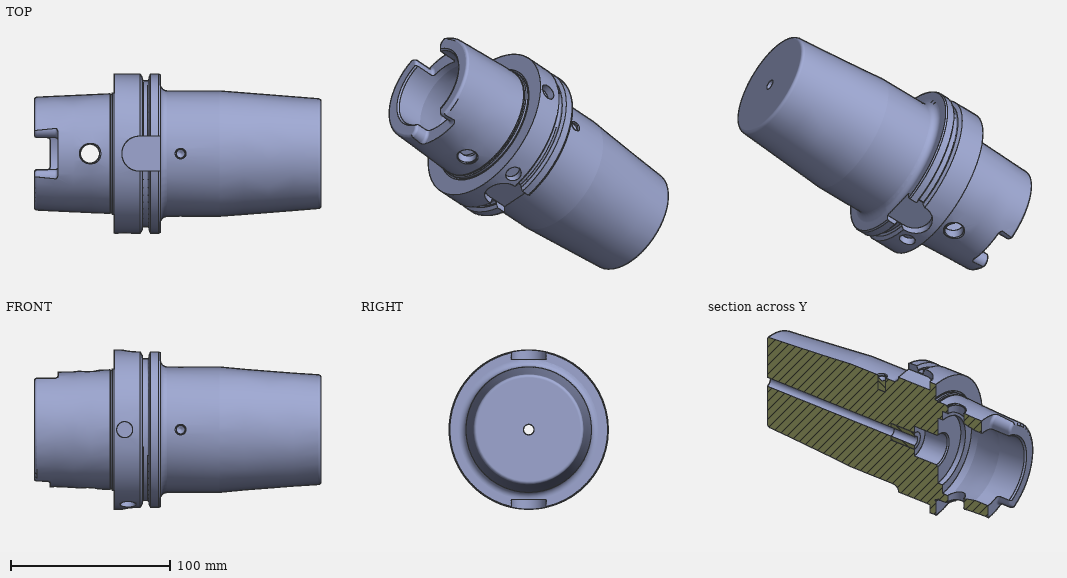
import cadquery as cq
import math

LENGTH = 180.0

SHANK_END_RADIUS = 35.5
SHANK_ROOT_RADIUS = 37.6
SHANK_EDGE_FILLET = 1.8
RELIEF_START = 47.3
RELIEF_WIDTH = 1.3
RELIEF_DEPTH = 0.4
ROOT_COLLAR_RADIUS = 38.2
FACE_RECESS_RADIUS = 39.2
FACE_RECESS_DEPTH = 0.5

FLANGE_START = 50.0
FLANGE_END = 79.0
FLANGE_RADIUS = 50.0
FLANGE_CHAMFER_LENGTH = 1.0
FLANGE_CHAMFER_DROP = 0.5
GROOVE_RADIUS = 45.9
GROOVE_START = 66.5
GROOVE_WALL = 67.9
GROOVE_CORNER_FILLET = 0.7
GROOVE_FLOOR_END = 71.8
GROOVE_FLARE_RADIUS = 47.5
GROOVE_END = 72.9

NECK_RADIUS = 39.5
NECK_FILLET = 4.5
NOSE_START = 116.3
NOSE_ANGLE = 4.5
NOSE_FILLET = 2.0

CAVITY_RADIUS = 26.5
CAVITY_CHAMFER = 1.0
CAVITY_STRAIGHT_END = 19.8
UNDERCUT_RADIUS = 31.1
UNDERCUT_START = 39.6
UNDERCUT_END = 45.0
CAVITY_FLOOR = 48.6
CAVITY_FLOOR_RADIUS = 24.7

COOLANT_BORE_RADIUS = 11.2
COOLANT_BORE_CHAMFER = 0.9
COOLANT_BORE_DEPTH = 18.0
THROUGH_BORE_RADIUS = 3.2
STOP_SCREW_RADIUS = 6.1
STOP_SCREW_LENGTH = 18.0
STOP_SCREW_START = CAVITY_FLOOR + COOLANT_BORE_DEPTH

DRIVE_SLOT_WIDTH = 20.0
DRIVE_SLOT_SHOULDER = 32.4
DRIVE_SLOT_ROUND = 5.2
UPPER_DRIVE_SLOT_DEPTH = 15.0
LOWER_DRIVE_SLOT_DEPTH = 9.9
DRIVE_SLOT_FILLET = 1.8

ACCESS_HOLE_X = 35.0
ACCESS_HOLE_RADIUS = 6.0
ACCESS_HOLE_CHAMFER = 0.9
ACCESS_HOLE_RIM = SHANK_ROOT_RADIUS - 0.7

KEYWAY_START = 54.9
KEYWAY_HALF_WIDTH = 11.0
KEYWAY_FLOOR = NECK_RADIUS + NECK_FILLET

RIM_HOLE_RADIUS = 5.0
RIM_HOLE_DEPTH = 5.0
FRONT_RIM_HOLE_X = 56.7
LOWER_RIM_HOLE_X = 58.9
LOWER_RIM_HOLE_ANGLE = -70.0

SCREW_X = 91.8
SCREW_RADIUS = 2.7
SCREW_CHAMFER = 0.7
SCREW_HOLE_DEPTH = 10.8
SCREW_SINK = 1.8
SCREW_DIMPLE_DEPTH = 1.6
SCREW_ANGLES = (0.0, 90.0)

CLEARANCE = 1.8


def radial_direction(angle):
    """Unit vector away from the axis; angle 0 points to -Y and 90 to +Z."""
    turn = math.radians(angle)
    return cq.Vector(0, -math.cos(turn), math.sin(turn))


def radial_rod(x, radius, inner, outer, angle):
    """Cylinder pointing away from the axis."""
    direction = radial_direction(angle)
    start = cq.Vector(x, 0, 0) + direction * inner
    return cq.Workplane(cq.Solid.makeCylinder(radius, outer - inner, start, direction))


def radial_cone(x, inner_radius, outer_radius, inner, outer, angle):
    """Cone pointing away from the axis, with its own radius at each end."""
    direction = radial_direction(angle)
    start = cq.Vector(x, 0, 0) + direction * inner
    return cq.Workplane(cq.Solid.makeCone(inner_radius, outer_radius, outer - inner, start, direction))


def axial_rod(start, end, radius):
    """Cylinder along the axis."""
    return cq.Workplane("YZ", origin=(start, 0, 0)).circle(radius).extrude(end - start)


def turned_blank():
    """Solid of revolution with the shank, flange, neck and nose."""
    nose_end_radius = NECK_RADIUS - (LENGTH - NOSE_START) * math.tan(math.radians(NOSE_ANGLE))
    relief_end = RELIEF_START + RELIEF_WIDTH
    profile = (
        cq.Workplane("XY")
        .moveTo(0, 0)
        .lineTo(0, SHANK_END_RADIUS)
        .lineTo(RELIEF_START, SHANK_ROOT_RADIUS)
        .lineTo(RELIEF_START + RELIEF_DEPTH, SHANK_ROOT_RADIUS - RELIEF_DEPTH)
        .lineTo(relief_end, SHANK_ROOT_RADIUS - RELIEF_DEPTH)
        .lineTo(relief_end + RELIEF_DEPTH, ROOT_COLLAR_RADIUS)
        .lineTo(FLANGE_START + FACE_RECESS_DEPTH, ROOT_COLLAR_RADIUS)
        .lineTo(FLANGE_START + FACE_RECESS_DEPTH, FACE_RECESS_RADIUS)
        .lineTo(FLANGE_START, FACE_RECESS_RADIUS)
        .lineTo(FLANGE_START, FLANGE_RADIUS)
        .lineTo(GROOVE_START, FLANGE_RADIUS)
        .lineTo(GROOVE_WALL, GROOVE_FLARE_RADIUS)
        .lineTo(GROOVE_WALL, GROOVE_RADIUS + GROOVE_CORNER_FILLET)
        .radiusArc((GROOVE_WALL + GROOVE_CORNER_FILLET, GROOVE_RADIUS), -GROOVE_CORNER_FILLET)
        .lineTo(GROOVE_FLOOR_END - GROOVE_CORNER_FILLET, GROOVE_RADIUS)
        .radiusArc((GROOVE_FLOOR_END, GROOVE_RADIUS + GROOVE_CORNER_FILLET), -GROOVE_CORNER_FILLET)
        .lineTo(GROOVE_FLOOR_END, GROOVE_FLARE_RADIUS)
        .lineTo(GROOVE_END, FLANGE_RADIUS)
        .lineTo(FLANGE_END - FLANGE_CHAMFER_LENGTH, FLANGE_RADIUS)
        .lineTo(FLANGE_END, FLANGE_RADIUS - FLANGE_CHAMFER_DROP)
        .lineTo(FLANGE_END, NECK_RADIUS + NECK_FILLET)
        .radiusArc((FLANGE_END + NECK_FILLET, NECK_RADIUS), -NECK_FILLET)
        .lineTo(NOSE_START, NECK_RADIUS)
        .lineTo(LENGTH, nose_end_radius)
        .lineTo(LENGTH, 0)
        .close()
    )
    blank = profile.revolve(360, (0, 0, 0), (1, 0, 0))
    blank = blank.faces("<X").edges().fillet(SHANK_EDGE_FILLET)
    return blank.faces(">X").edges().fillet(NOSE_FILLET)


def cavity():
    """Clamping cavity with its undercut, floor recess and coolant bore."""
    return (
        cq.Workplane("XY")
        .moveTo(0, 0)
        .lineTo(0, CAVITY_RADIUS + CAVITY_CHAMFER)
        .lineTo(CAVITY_CHAMFER, CAVITY_RADIUS)
        .lineTo(CAVITY_STRAIGHT_END, CAVITY_RADIUS)
        .lineTo(UNDERCUT_START, UNDERCUT_RADIUS)
        .lineTo(UNDERCUT_END, UNDERCUT_RADIUS)
        .lineTo(UNDERCUT_END, CAVITY_FLOOR_RADIUS)
        .lineTo(CAVITY_FLOOR, CAVITY_FLOOR_RADIUS)
        .lineTo(CAVITY_FLOOR, COOLANT_BORE_RADIUS + COOLANT_BORE_CHAMFER)
        .lineTo(CAVITY_FLOOR + COOLANT_BORE_CHAMFER, COOLANT_BORE_RADIUS)
        .lineTo(STOP_SCREW_START, COOLANT_BORE_RADIUS)
        .lineTo(STOP_SCREW_START, 0)
        .close()
        .revolve(360, (0, 0, 0), (1, 0, 0))
    )


def drive_slot(depth, side):
    """Cutter for a slot with rounded shoulders; side is +1 for the top and -1 for the bottom."""
    wall = DRIVE_SLOT_WIDTH / 2
    shoulder = wall + DRIVE_SLOT_ROUND
    round_start = DRIVE_SLOT_SHOULDER - DRIVE_SLOT_ROUND
    reach = FLANGE_RADIUS
    stock = cq.Workplane("XY").box(depth, 2 * reach, reach, centered=(False, True, False))
    opening = (
        cq.Workplane("YZ")
        .moveTo(-wall, 0)
        .lineTo(wall, 0)
        .lineTo(wall, round_start)
        .radiusArc((shoulder, DRIVE_SLOT_SHOULDER), DRIVE_SLOT_ROUND)
        .lineTo(reach, DRIVE_SLOT_SHOULDER)
        .lineTo(reach, reach)
        .lineTo(-reach, reach)
        .lineTo(-reach, DRIVE_SLOT_SHOULDER)
        .lineTo(-shoulder, DRIVE_SLOT_SHOULDER)
        .radiusArc((-wall, round_start), DRIVE_SLOT_ROUND)
        .close()
        .extrude(depth)
    )
    for y in (wall, -wall):
        floor_edge = cq.NearestToPointSelector((depth, y, round_start / 2))
        opening = opening.edges(floor_edge).fillet(DRIVE_SLOT_FILLET)
    teeth = stock.cut(opening)
    for y in (wall, -wall):
        mouth_edge = cq.NearestToPointSelector((0, y, round_start / 2))
        teeth = teeth.edges(mouth_edge).fillet(DRIVE_SLOT_FILLET)
    cutter = stock.cut(teeth)
    if side < 0:
        cutter = cutter.rotate((0, 0, 0), (1, 0, 0), 180)
    return cutter


def keyway(side):
    """Cutter for a round-ended keyway; side is +1 for the top and -1 for the bottom."""
    arc_center = KEYWAY_START + KEYWAY_HALF_WIDTH
    cutter = (
        cq.Workplane("XY", origin=(0, 0, KEYWAY_FLOOR))
        .moveTo(FLANGE_END, -KEYWAY_HALF_WIDTH)
        .lineTo(arc_center, -KEYWAY_HALF_WIDTH)
        .threePointArc((KEYWAY_START, 0), (arc_center, KEYWAY_HALF_WIDTH))
        .lineTo(FLANGE_END, KEYWAY_HALF_WIDTH)
        .close()
        .extrude(FLANGE_RADIUS + CLEARANCE - KEYWAY_FLOOR)
    )
    if side < 0:
        cutter = cutter.rotate((0, 0, 0), (1, 0, 0), 180)
    return cutter


def cut_access_holes(body):
    """Two opposite holes into the cavity, each with a chamfered rim."""
    chamfer_start = ACCESS_HOLE_RIM - ACCESS_HOLE_CHAMFER
    chamfer_radius = ACCESS_HOLE_RADIUS + ACCESS_HOLE_CHAMFER
    for angle in (90, -90):
        body = body.cut(radial_rod(ACCESS_HOLE_X, ACCESS_HOLE_RADIUS, 0, FLANGE_RADIUS, angle))
        body = body.cut(radial_cone(
            ACCESS_HOLE_X, ACCESS_HOLE_RADIUS, chamfer_radius, chamfer_start, ACCESS_HOLE_RIM, angle))
    return body


def cut_rim_holes(body):
    """Blind holes sunk into the flange rim."""
    floor = FLANGE_RADIUS - RIM_HOLE_DEPTH
    top = FLANGE_RADIUS + CLEARANCE
    for x, angle in ((FRONT_RIM_HOLE_X, 0), (LOWER_RIM_HOLE_X, LOWER_RIM_HOLE_ANGLE)):
        body = body.cut(radial_rod(x, RIM_HOLE_RADIUS, floor, top, angle))
    return body


def cut_screw_holes(body):
    """Chamfered blind holes that hold the balancing screws."""
    floor = NECK_RADIUS - SCREW_HOLE_DEPTH
    top = NECK_RADIUS + CLEARANCE
    chamfer_start = NECK_RADIUS - SCREW_CHAMFER
    chamfer_radius = SCREW_RADIUS + SCREW_CHAMFER
    for angle in SCREW_ANGLES:
        body = body.cut(radial_rod(SCREW_X, SCREW_RADIUS, floor, top, angle))
        body = body.cut(radial_cone(
            SCREW_X, SCREW_RADIUS, chamfer_radius, chamfer_start, NECK_RADIUS, angle))
    return body


def make_housing():
    body = turned_blank()
    body = body.cut(drive_slot(UPPER_DRIVE_SLOT_DEPTH, 1))
    body = body.cut(drive_slot(LOWER_DRIVE_SLOT_DEPTH, -1))
    body = body.cut(cavity())
    for side in (1, -1):
        body = body.cut(keyway(side))
    body = cut_access_holes(body)
    body = cut_rim_holes(body)
    body = cut_screw_holes(body)
    body = body.cut(axial_rod(0, LENGTH, THROUGH_BORE_RADIUS))
    return body.cut(axial_rod(STOP_SCREW_START, STOP_SCREW_START + STOP_SCREW_LENGTH, STOP_SCREW_RADIUS))


def make_stop_screw():
    """Screw at the end of the coolant bore, with the through bore in its middle."""
    screw = axial_rod(STOP_SCREW_START, STOP_SCREW_START + STOP_SCREW_LENGTH, STOP_SCREW_RADIUS)
    return screw.cut(axial_rod(0, LENGTH, THROUGH_BORE_RADIUS))


def make_balancing_screw(angle):
    """Sunk headless screw with a conical dimple in its outer end."""
    head = NECK_RADIUS - SCREW_SINK
    screw = radial_rod(SCREW_X, SCREW_RADIUS, NECK_RADIUS - SCREW_HOLE_DEPTH, head, angle)
    return screw.cut(radial_cone(SCREW_X, 0, SCREW_RADIUS, head - SCREW_DIMPLE_DEPTH, head, angle))


housing = make_housing()
stop_screw = make_stop_screw()
balancing_screws = [make_balancing_screw(angle) for angle in SCREW_ANGLES]

result = cq.Compound.makeCompound(
    [housing.val(), stop_screw.val(), *[screw.val() for screw in balancing_screws]]
)